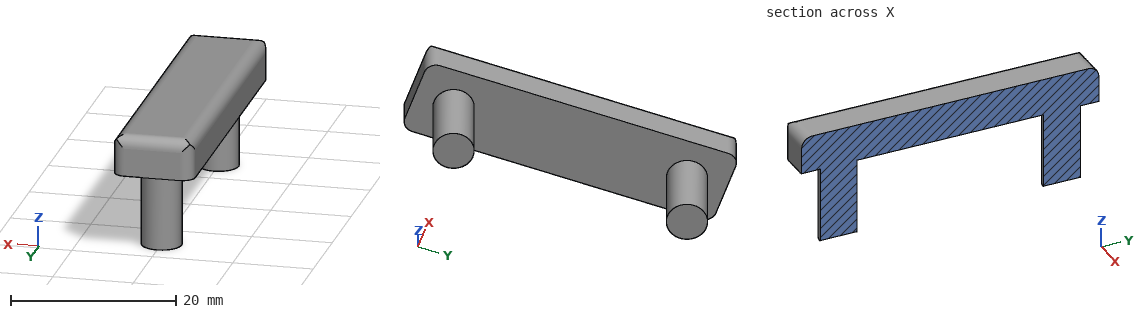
import cadquery as cq

bar_width = 10.0
bar_length = 40.0
bar_height = 5.0
edge_radius = 1.5

leg_diameter = 5.0
leg_length = 10.0
leg_spacing = 30.0


def rounded_block(edge_selector):
    """Bar-sized block, underside at Z = 0, with only the selected edges rounded."""
    block = cq.Workplane("XY").box(bar_width, bar_length, bar_height, centered=(True, True, False))
    return block.edges(edge_selector).fillet(edge_radius)


def make_bar():
    """Bar whose rounded edges meet in mitred corners: the overlap of three blocks,
    each rounded along one axis. The bottom edges stay sharp."""
    rounded_along_x = rounded_block("|X and >Z")
    rounded_along_y = rounded_block("|Y and >Z")
    rounded_along_z = rounded_block("|Z")
    return rounded_along_x.intersect(rounded_along_y).intersect(rounded_along_z)


def make_legs():
    """Two legs hanging from the underside, spaced along Y."""
    leg_centres = [(0, -leg_spacing / 2), (0, leg_spacing / 2)]
    return cq.Workplane("XY").pushPoints(leg_centres).circle(leg_diameter / 2).extrude(-leg_length)


result = make_bar().union(make_legs())